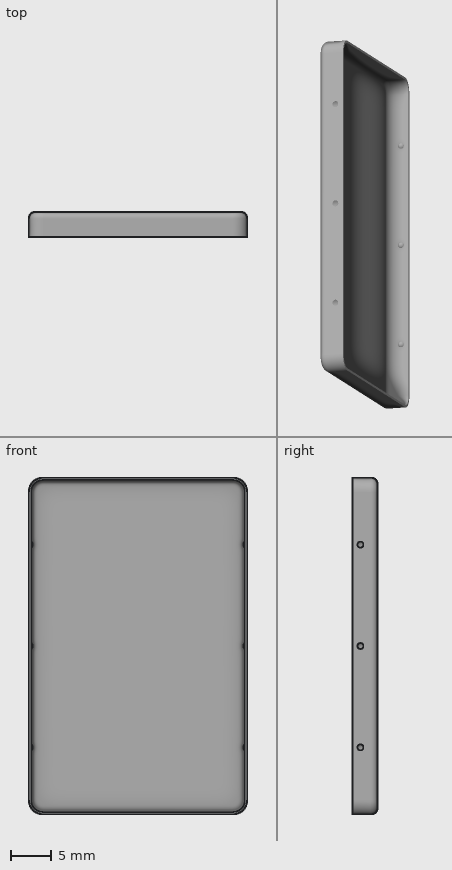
import cadquery as cq

width = 27.0
depth = 3.1
height = 41.6
wall = 0.3
corner_radius = 1.75
back_edge_radius = 0.8

dent_radius = 0.37
dent_depth = 0.2
dent_spacing = 12.52
dent_from_rim = 1.0

rim_y = -depth / 2
inner_x = width / 2 - wall


def rounded_block(inset):
    """Block with rounded corners and back edge, inset from the outer faces except at the rim."""
    return (
        cq.Workplane("XZ", origin=(0, rim_y, 0))
        .rect(width - 2 * inset, height - 2 * inset)
        .extrude(-(depth - inset))
        .edges("|Y")
        .fillet(corner_radius - inset)
        .faces(">Y")
        .edges()
        .fillet(back_edge_radius - inset)
    )


def dent_cap(side, wall_x, z):
    """Spherical cap with its flat base on a wall plane and its crown pointing into the tray."""
    sphere_radius = (dent_radius**2 + dent_depth**2) / (2 * dent_depth)
    profile = (
        cq.Workplane("XY")
        .moveTo(0, 0)
        .lineTo(dent_radius, 0)
        .radiusArc((0, dent_depth), -sphere_radius)
        .close()
    )
    cap = profile.revolve(360, (0, 0, 0), (0, 1, 0))
    cap = cap.rotate((0, 0, 0), (0, 0, 1), side * 90)
    return cap.translate((side * wall_x, rim_y + dent_from_rim, z))


result = rounded_block(0).cut(rounded_block(wall))

for side in (-1, 1):
    for row in (-1, 0, 1):
        dent_z = row * dent_spacing
        result = result.union(dent_cap(side, inner_x, dent_z))
        result = result.cut(dent_cap(side, width / 2, dent_z))